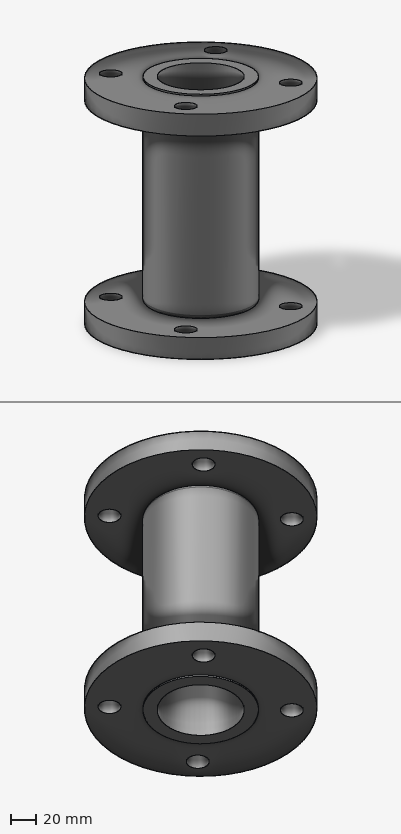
import cadquery as cq

length = 208.0
bore_diameter = 69.0

flange_diameter = 185.0
flange_thickness = 18.3

face_diameter = 92.0
face_height = 1.5

body_diameter = 92.5
body_end_radius = 3.3
body_bottom = face_height + flange_thickness
body_top = length - body_bottom

bolt_count = 4
bolt_circle_diameter = 145.0
bolt_hole_diameter = 18.0
first_bolt_angle = 45.0


def cylinder(diameter, bottom, top):
    """Solid cylinder on the pipe axis between two heights."""
    return cq.Workplane("XY").workplane(offset=bottom).circle(diameter / 2).extrude(top - bottom)


def pipe_body():
    """Pipe with rounded ends where it meets the flanges."""
    return cylinder(body_diameter, body_bottom, body_top).faces("<Z or >Z").edges().fillet(body_end_radius)


def bottom_flange():
    """Flange with its raised sealing face facing down."""
    raised_face = cylinder(face_diameter, 0, face_height)
    return cylinder(flange_diameter, face_height, body_bottom).union(raised_face)


def top_flange():
    """Mirror image of the bottom flange about mid-length."""
    return bottom_flange().mirror("XY", (0, 0, length / 2))


def bolt_holes():
    """Cutters for the bolt holes, running through both flanges."""
    return (
        cq.Workplane("XY")
        .polarArray(bolt_circle_diameter / 2, first_bolt_angle, 360, bolt_count)
        .circle(bolt_hole_diameter / 2)
        .extrude(length)
    )


spool = pipe_body().union(bottom_flange()).union(top_flange())
bore = cylinder(bore_diameter, 0, length)
result = spool.cut(bore).cut(bolt_holes())